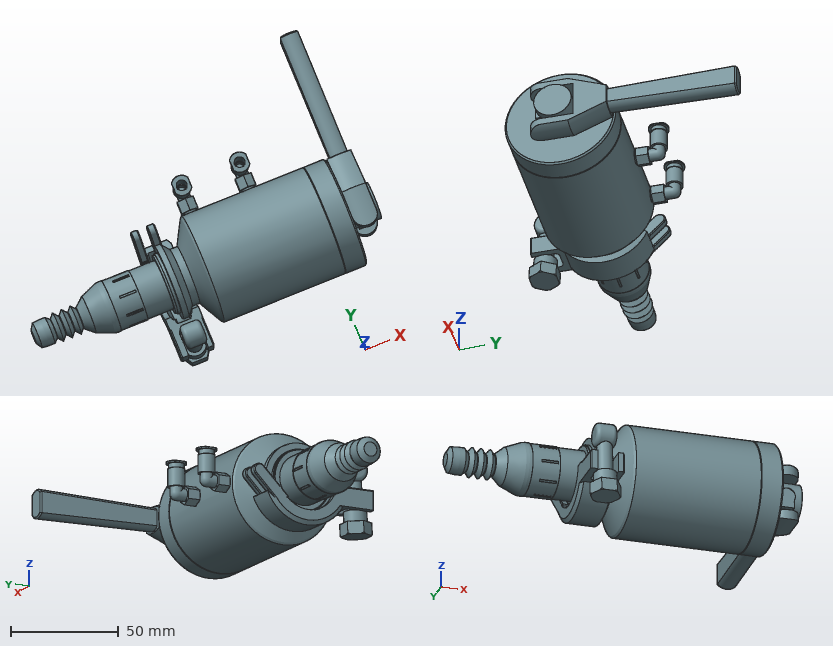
import cadquery as cq
import math


tip_face_radius = 3.4
nose_shoulder_x = 1.8
nose_shoulder_radius = 6.2
nose_radius = 13 / 2
nose_full_start = 5.3
nose_full_end = 8.1
neck_radius = 9.6 / 2
neck_start = 10.0
rib_count = 3
rib_first_x = 12.2
rib_pitch = 4.4
rib_radius = 7.1
rib_half_width = 2.0
cone_start = 23.2
cone_start_radius = 5.3
cone_break_x = 27.6
cone_break_radius = 9.1
cone_end = 35.7
collar_radius = 24.8 / 2
collar_rim_radius = 12.6
rim_start = cone_end
rim_end = 38.8
rim_full_x = 37.3
collar_end = 52.2
tube_radius = 12.1

slot_count = 8
slot_start = 43.2
slot_length = 8.0
slot_width = 1.0
slot_depth = 0.5

ferrule_start = 65.2
ferrule_radius = 15.0
ferrule_lip_end = 66.2
ferrule_lip_radius = 14.5
flange_start = 67.6
flange_end = 70.4
flange_radius = 18.2
flange_cone_end = 73.7
flange_foot_radius = 14.2
housing_neck_end = 77.4
housing_cone_end = 83.7
housing_radius = 53 / 2
housing_edge = 0.9
cap_seam_x = 145.2
cap_seam_width = 0.4
cap_seam_depth = 0.15
housing_end = 156.2
cap_chamfer = 0.8

fitting_stations = (89.4, 118.4)
fitting_y = 37.5
hex_flats = 8.0
hex_start = 27.2
hex_end = 33.2
hex_z = 0.7
hex_turn = 30.0
thread_radius = 6.25 / 2
elbow_radius = 6 / 2
barrel_radius = 8 / 2
barrel_bottom = 4.0
barrel_top = 12.7
ring_neck_radius = 7.4 / 2
ring_bottom = 15.0
ring_top = 15.8
ring_radius = 9.6 / 2
ring_width = 8.2
tube_hole_radius = 5 / 2
stop_hole_radius = 4 / 2
tube_hole_bottom = 5.5
stop_hole_bottom = hex_z

clamp_start = 59.8
clamp_end = 76.3
clamp_inner_radius = 15.3
clamp_outer_radius = 22.3
clamp_front_radius = 20.3
clamp_back_radius = 19.6
clamp_front_bevel = 1.5
clamp_back_bevel = 1.3
clamp_end_angle = -22.0
groove_front = 62.5
groove_floor_start = 64.5
groove_floor_end = 71.0
groove_back = 73.2
groove_radius = 19.2
arm_angle = -45.0
arm_length = 18.5
arm_inner = 14.4
arm_outer = 20.5
arm_chamfer = 0.5
fork_chamfer = 0.6
arm_plates = ((clamp_start, 63.4), (67.8, 71.6))
fork_slot_start = 63.4
fork_slot_end = 73.3
fork_top = -1.8
fork_bottom = -11.3
fork_y_end = -34.9
fork_root_y = -16.8
fork_slot_y = -22.0

bolt_x = 68.4
knuckle_y = -28.4
knuckle_z = 8.7
knuckle_radius = 5.8
knuckle_length = 9.9
knuckle_fillet = 2.0
bolt_tilt = -3.3
bolt_radius = 7.4 / 2
sleeve_top = -19.7
sleeve_radius = 11 / 2
nut_flats = 13.0
nut_top = -25.2
nut_bottom = -31.3
nut_chamfer = 0.6

lever_x = 163.1
hub_radius = 17.9 / 2
hub_end = 170.53
head_width = 12.0
head_half_height = 13.7
head_crown = 1.4
head_taper_start = 7.0
head_root_half_height = 6.3
head_start = -12.1
head_end = 25.4
head_gap_half = 8.9
head_gap_end = 9.5
handle_width = 8.8
handle_end = 87.08
handle_root_half = 5.6
handle_tip_half = 7.0
handle_crown = 1.9
handle_tip_chamfer = 0.7
keyhole_radius = 8 / 2
keyhole_width = 7.2
keyhole_z = -0.5
keyhole_bottom = -6.3


def rod_x(x_start, x_end, radius, y=0.0, z=0.0):
    """Cylinder along X."""
    return cq.Workplane("YZ", origin=(x_start, y, z)).circle(radius).extrude(x_end - x_start)


def rod_z(z_start, z_end, radius, x, y):
    """Cylinder along Z."""
    return cq.Workplane("XY", origin=(x, y, z_start)).circle(radius).extrude(z_end - z_start)


def rod_y(y_start, y_end, radius, x, z):
    """Cylinder along Y."""
    return cq.Workplane("XZ", origin=(x, y_start, z)).circle(radius).extrude(y_start - y_end)


def block(x_range, y_range, z_range):
    """Box between two limits on each axis."""
    corner = (x_range[0], y_range[0], z_range[0])
    size = (x_range[1] - x_range[0], y_range[1] - y_range[0], z_range[1] - z_range[0])
    return cq.Workplane("XY").box(*size, centered=False).translate(corner)


def turned_body():
    """Nose, collar, tube, clamp flange and housing as one revolved profile."""
    profile = cq.Workplane("XY").moveTo(0, 0).lineTo(0, tip_face_radius)
    profile = profile.lineTo(nose_shoulder_x, nose_shoulder_radius)
    profile = profile.lineTo(nose_full_start, nose_radius).lineTo(nose_full_end, nose_radius)
    profile = profile.lineTo(neck_start, neck_radius)
    for index in range(rib_count):
        peak_x = rib_first_x + index * rib_pitch
        profile = profile.lineTo(peak_x - rib_half_width, neck_radius)
        profile = profile.lineTo(peak_x, rib_radius)
        profile = profile.lineTo(peak_x + rib_half_width, neck_radius)
    stations = [
        (cone_start, cone_start_radius),
        (cone_break_x, cone_break_radius),
        (rim_start, collar_radius),
        (rim_full_x, collar_rim_radius),
        (rim_end, collar_rim_radius),
        (rim_end, collar_radius),
        (collar_end, collar_radius),
        (collar_end, tube_radius),
        (ferrule_start, tube_radius),
        (ferrule_start, ferrule_lip_radius),
        (ferrule_lip_end, ferrule_lip_radius),
        (ferrule_lip_end, ferrule_radius),
        (flange_start, ferrule_radius),
        (flange_start, flange_radius),
        (flange_end, flange_radius),
        (flange_cone_end, flange_foot_radius),
        (housing_neck_end, flange_foot_radius),
        (housing_cone_end, housing_radius - housing_edge),
        (housing_cone_end + housing_edge, housing_radius),
        (cap_seam_x, housing_radius),
        (cap_seam_x, housing_radius - cap_seam_depth),
        (cap_seam_x + cap_seam_width, housing_radius - cap_seam_depth),
        (cap_seam_x + cap_seam_width, housing_radius),
        (housing_end - cap_chamfer, housing_radius),
        (housing_end, housing_radius - cap_chamfer),
        (housing_end, 0),
    ]
    for station in stations:
        profile = profile.lineTo(*station)
    return profile.close().revolve(360, (0, 0, 0), (1, 0, 0))


def collar_slots():
    """Shallow lengthwise slots spaced evenly round the collar."""
    slots = cq.Workplane("XY")
    for index in range(slot_count):
        slot = block(
            (slot_start, slot_start + slot_length),
            (-slot_width / 2, slot_width / 2),
            (collar_radius - slot_depth, collar_radius + slot_depth),
        )
        slots = slots.add(slot.rotate((0, 0, 0), (1, 0, 0), index * 360 / slot_count))
    return slots.combine()


def elbow_fitting(x):
    """Push-in elbow: threaded stub, hexagon, bend and upright barrel with a release ring."""
    hex_diameter = hex_flats / math.cos(math.pi / 6)
    hexagon = cq.Workplane("XZ", origin=(x, hex_start, hex_z)).polygon(6, hex_diameter)
    hexagon = hexagon.extrude(hex_start - hex_end)
    hexagon = hexagon.rotate((x, 0, hex_z), (x, 1, hex_z), hex_turn)
    fitting = hexagon.union(rod_y(housing_radius - 1, hex_start, thread_radius, x, hex_z))
    fitting = fitting.union(rod_y(hex_end, fitting_y, elbow_radius, x, hex_z))
    fitting = fitting.union(cq.Workplane("XY").sphere(elbow_radius).translate((x, fitting_y, hex_z)))
    fitting = fitting.union(rod_z(hex_z, barrel_bottom, elbow_radius, x, fitting_y))
    fitting = fitting.union(rod_z(barrel_bottom, barrel_top, barrel_radius, x, fitting_y))
    fitting = fitting.union(rod_z(barrel_top, ring_bottom, ring_neck_radius, x, fitting_y))
    ring_trim = block(
        (x - ring_width / 2, x + ring_width / 2),
        (fitting_y - ring_radius, fitting_y + ring_radius),
        (ring_bottom, ring_top),
    )
    ring = rod_z(ring_bottom, ring_top, ring_radius, x, fitting_y).intersect(ring_trim)
    fitting = fitting.union(ring)
    fitting = fitting.cut(rod_z(tube_hole_bottom, ring_top, tube_hole_radius, x, fitting_y))
    return fitting.cut(rod_z(stop_hole_bottom, ring_top, stop_hole_radius, x, fitting_y))


def clamp():
    """Lower half ring with two arm plates on +Y and a slotted fork on -Y."""
    section = [
        (clamp_start, clamp_inner_radius),
        (clamp_start, clamp_front_radius),
        (clamp_start + clamp_front_bevel, clamp_outer_radius),
        (clamp_end - clamp_back_bevel, clamp_outer_radius),
        (clamp_end, clamp_back_radius),
        (clamp_end, clamp_inner_radius),
        (groove_back, clamp_inner_radius),
        (groove_floor_end, groove_radius),
        (groove_floor_start, groove_radius),
        (groove_front, clamp_inner_radius),
    ]
    half_ring = cq.Workplane("XY").polyline(section).close().revolve(180, (0, 0, 0), (1, 0, 0))
    half_ring = half_ring.rotate((0, 0, 0), (1, 0, 0), 180)
    full_x = (clamp_start, clamp_end)
    keep_depth = (-clamp_outer_radius, 0)
    keep_left = block(full_x, (-clamp_outer_radius, 0), (-clamp_outer_radius, fork_top))
    keep_right = block(full_x, (0, clamp_outer_radius), keep_depth)
    keep_right = keep_right.intersect(
        block(full_x, (-clamp_outer_radius, clamp_outer_radius), keep_depth).rotate(
            (0, 0, 0), (1, 0, 0), clamp_end_angle
        )
    )
    body = half_ring.intersect(keep_left.union(keep_right))

    arm_mid = (arm_inner + arm_outer) / 2
    for plate_start, plate_end in arm_plates:
        arm = block((plate_start, plate_end), (arm_inner, arm_outer), (0, arm_length))
        arm = arm.union(rod_x(plate_start, plate_end, (arm_outer - arm_inner) / 2, arm_mid, arm_length))
        arm = arm.faces("<X or >X").chamfer(arm_chamfer)
        arm = arm.rotate((0, 0, 0), (1, 0, 0), arm_angle)
        body = body.union(arm)

    fork = block(full_x, (fork_y_end, fork_root_y), (fork_bottom, fork_top))
    fork = fork.cut(rod_x(groove_floor_start, groove_floor_end, groove_radius))
    fork = fork.faces("<Y").edges("|Z").chamfer(fork_chamfer)
    fork = fork.faces(">Z").edges("|Y").chamfer(fork_chamfer)
    slot = block((fork_slot_start, fork_slot_end), (fork_y_end, fork_slot_y), (fork_bottom, fork_top))
    slot = slot.edges("|Z and >Y").fillet(knuckle_fillet)
    return body.union(fork).cut(slot)


def swing_bolt():
    """Rounded knuckle with a shank, sleeve and hexagon nut below it."""
    knuckle = rod_x(-knuckle_length / 2, knuckle_length / 2, knuckle_radius)
    knuckle = knuckle.edges().fillet(knuckle_fillet)
    bolt = knuckle.union(rod_z(sleeve_top, 0, bolt_radius, 0, 0))
    bolt = bolt.union(rod_z(nut_top, sleeve_top, sleeve_radius, 0, 0))
    nut_diameter = nut_flats / math.cos(math.pi / 6)
    nut = cq.Workplane("XY", origin=(0, 0, nut_bottom)).polygon(6, nut_diameter)
    nut = nut.extrude(nut_top - nut_bottom)
    nut_envelope = rod_z(nut_bottom, nut_top, nut_diameter / 2, 0, 0).faces("<Z").chamfer(nut_chamfer)
    bolt = bolt.union(nut.intersect(nut_envelope))
    bolt = bolt.rotate((0, 0, 0), (1, 0, 0), bolt_tilt)
    return bolt.translate((bolt_x, knuckle_y, knuckle_z))


def lever_hub():
    """Round boss at the end of the housing with a keyhole-shaped pad on its -Y side."""
    hub = rod_x(housing_end, hub_end, hub_radius)
    pad = rod_y(-hub_radius, 0, keyhole_radius, lever_x, keyhole_z)
    stem = block(
        (lever_x - keyhole_width / 2, lever_x + keyhole_width / 2),
        (-hub_radius, 0),
        (keyhole_bottom, keyhole_z),
    )
    return hub.union(pad).union(stem)


def crowned_wire(half_width, half_height, crown, y):
    """Outline across the lever at one Y, with arched top and bottom."""
    edge_height = half_height - crown
    outline = cq.Workplane("XZ", origin=(lever_x, y, 0)).moveTo(-half_width, -edge_height)
    outline = outline.lineTo(-half_width, edge_height)
    outline = outline.threePointArc((0, half_height), (half_width, edge_height))
    outline = outline.lineTo(half_width, -edge_height)
    outline = outline.threePointArc((0, -half_height), (-half_width, -edge_height)).close()
    return outline.wires().val()


def crowned_bar(half_width, crown, start, end):
    """Arched bar between two (Y, half height) stations."""
    wires = [crowned_wire(half_width, height, crown, y) for y, height in (start, end)]
    return cq.Workplane("XY").add(cq.Solid.makeLoft(wires, True))


def lever():
    """Forked head with a round end, and a handle that grows taller towards its tip."""
    half_width = head_width / 2
    ear_end = (head_taper_start, head_half_height)
    head = crowned_bar(half_width, head_crown, (head_start, head_half_height), ear_end)
    head = head.union(crowned_bar(half_width, head_crown, ear_end, (head_end, head_root_half_height)))
    round_end_y = head_start + half_width
    outline = cq.Workplane("XY", origin=(lever_x, 0, -head_half_height))
    outline = outline.moveTo(-half_width, head_end).lineTo(-half_width, round_end_y)
    outline = outline.threePointArc((0, head_start), (half_width, round_end_y))
    outline = outline.lineTo(half_width, head_end).close().extrude(2 * head_half_height)
    gap = block(
        (lever_x - half_width, lever_x + half_width),
        (head_start, head_gap_end),
        (-head_gap_half, head_gap_half),
    )
    head = head.intersect(outline).cut(gap)

    half_handle = handle_width / 2
    root = (head_end, handle_root_half)
    tip = (handle_end, handle_tip_half)
    handle = crowned_bar(half_handle, handle_crown, root, tip)
    handle = handle.faces(">Y").chamfer(handle_tip_chamfer)
    return head.union(handle)


result = turned_body().cut(collar_slots())
for fitting_x in fitting_stations:
    result = result.union(elbow_fitting(fitting_x))
result = result.union(clamp()).union(swing_bolt())
result = result.union(lever_hub()).union(lever())